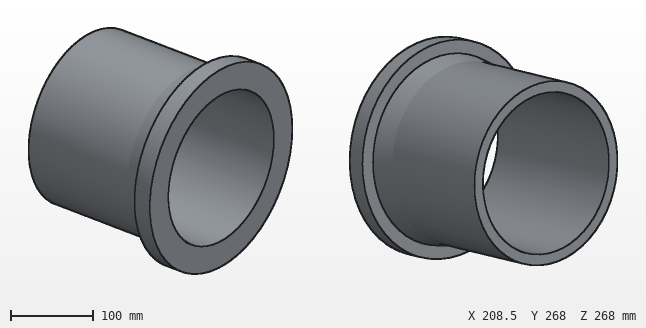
import cadquery as cq

total_length = 208.5
flange_diameter = 268.0
flange_thickness = 24.0
pipe_diameter = 225.0
bore_diameter = 198.3

neck_length = 30.0
neck_end_diameter = 234.8

flange_start = total_length - flange_thickness
neck_start = flange_start - neck_length

half_section = (
    cq.Workplane("XY")
    .moveTo(0, bore_diameter / 2)
    .lineTo(0, pipe_diameter / 2)
    .lineTo(neck_start, pipe_diameter / 2)
    .lineTo(flange_start, neck_end_diameter / 2)
    .lineTo(flange_start, flange_diameter / 2)
    .lineTo(total_length, flange_diameter / 2)
    .lineTo(total_length, bore_diameter / 2)
    .close()
)

result = half_section.revolve(360, (0, 0, 0), (1, 0, 0))